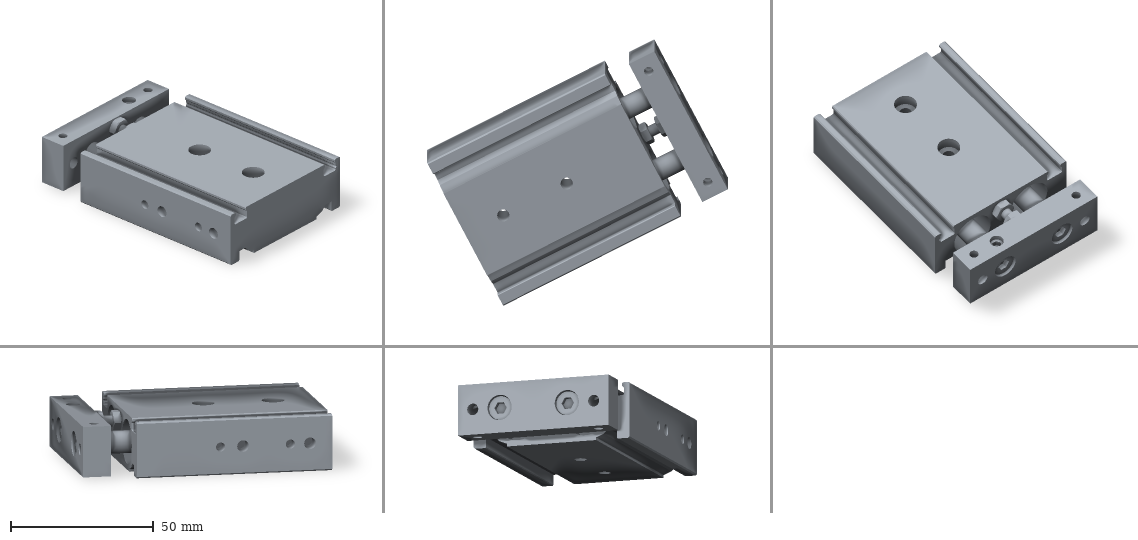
import cadquery as cq
import math

HOUSING_START = 19.0
HOUSING_LENGTH = 70.0
HOUSING_WIDTH = 58.0
HOUSING_HEIGHT = 20.0
EDGE_CHAMFER = 0.5
HALF_WIDTH = HOUSING_WIDTH / 2
HALF_HEIGHT = HOUSING_HEIGHT / 2

CHANNEL_FLOOR = 5.4
CHANNEL_MOUTH_OUTER = 26.2
CHANNEL_MOUTH_INNER = 20.9
OUTER_UNDERCUT = 0.8
INNER_UNDERCUT = 0.6
CHANNEL_CORNER = 0.4
OUTER_LIP_CHAMFER = 0.55
INNER_LIP_CHAMFER = 0.3
LIP_EDGE = 0.4
LIP_HEIGHT = 1.2

NOTCHED_WALL_UNDERCUT = 0.45
NOTCH_DEPTH = 0.5
NOTCH_BOTTOM = 6.3
NOTCH_TAPER = 0.4
NOTCH_TOP = 7.5

FOOT_INNER = 24.4
FOOT_CHAMFER = 0.3
LOWER_ROOF = -6.1
LOWER_ROOF_INNER = 21.1
LOWER_STEP_Y = 19.5
LOWER_STEP_Z = -7.9
KEEL_HALF_WIDTH = 16.6
KEEL_EDGE_Z = -9.0

MOUNT_HOLE_X = (49.0, 74.0)
MOUNT_HOLE_DIAMETER = 4.3
MOUNT_COUNTERBORE_DIAMETER = 8.0
MOUNT_COUNTERBORE_DEPTH = 4.4

PORT_X = (49.0, 74.0)
PORT_DIAMETER = 3.24
SIDE_THREAD_X = (57.0, 81.0)
SIDE_THREAD_DIAMETER = 4.13
SIDE_HOLE_DEPTH = 6.0

BORE_DIAMETER = 16.0
BORE_DEPTH = 12.0

PLATE_THICKNESS = 10.0
PLATE_WIDTH = 56.0
PLATE_HEIGHT = 18.0
ROD_DIAMETER = 8.0
ROD_Y = 12.5
ROD_SEAT_DEPTH = 10.0
ROD_END = HOUSING_START + BORE_DEPTH + ROD_SEAT_DEPTH

PLATE_HOLE_Y = 22.5
PLATE_CROSS_HOLE_X = 5.0
PLATE_CROSS_HOLE_DIAMETER = 3.24
PLATE_FACE_HOLE_DIAMETER = 4.13

SCREW_RECESS_DIAMETER = 9.0
SCREW_RECESS_DEPTH = 5.0
SCREW_HEAD_DIAMETER = 8.5
SCREW_HEAD_SETBACK = 1.0
SCREW_SOCKET_FLATS = 4.0
SCREW_SOCKET_DEPTH = 2.0

SET_SCREW_DIAMETER = 4.92
SET_SCREW_SETBACK = 2.0
SET_SCREW_SOCKET_FLATS = 3.0
SET_SCREW_SOCKET_DEPTH = 2.0

STOP_Z = 5.0
STOP_SHANK_DIAMETER = 4.0
STOP_HEX_FLATS = 7.0
STOP_HEX_THICKNESS = 2.8
STOP_HEAD_START = HOUSING_START - STOP_HEX_THICKNESS
STOP_FACE_DIAMETER = 7.0
STOP_CHAMFER_LENGTH = 0.35


def hexagon_diameter(flats):
    """Circle through the corners of a hexagon of the given width across flats."""
    return flats / math.cos(math.pi / 6)


def cylinder_x(diameter, start, end, y, z):
    """Cylinder parallel to X."""
    return cq.Workplane("YZ", origin=(start, y, z)).circle(diameter / 2).extrude(end - start)


def hexagon_x(flats, start, end, y, z):
    """Hexagonal prism parallel to X with two corners pointing along Y."""
    plane = cq.Workplane("YZ", origin=(start, y, z))
    return plane.polygon(6, hexagon_diameter(flats)).extrude(end - start)


def stop_hexagon(start):
    """Hexagonal head along X with the corners of both ends turned down to cones."""
    end = start + STOP_HEX_THICKNESS
    prism = hexagon_x(STOP_HEX_FLATS, start, end, 0, STOP_Z)
    corner_radius = hexagon_diameter(STOP_HEX_FLATS) / 2
    face_radius = STOP_FACE_DIAMETER / 2
    envelope = (
        cq.Workplane("XY", origin=(start, 0, STOP_Z))
        .polyline([
            (0, 0),
            (0, face_radius),
            (STOP_CHAMFER_LENGTH, corner_radius),
            (STOP_HEX_THICKNESS - STOP_CHAMFER_LENGTH, corner_radius),
            (STOP_HEX_THICKNESS, face_radius),
            (STOP_HEX_THICKNESS, 0),
        ])
        .close()
        .revolve(360, (0, 0, 0), (1, 0, 0))
    )
    return prism.intersect(envelope)


def outer_wall(undercut, notch):
    """Outer wall of an upper channel from its floor up to the lip, with optional notch points."""
    wall = CHANNEL_MOUTH_OUTER + undercut
    lip_bottom = HALF_HEIGHT - LIP_HEIGHT
    lower = [(wall - CHANNEL_CORNER, CHANNEL_FLOOR), (wall, CHANNEL_FLOOR + CHANNEL_CORNER)]
    upper = [(wall, lip_bottom - undercut), (CHANNEL_MOUTH_OUTER, lip_bottom)]
    return lower + notch + upper


def notch_points():
    """Tapered groove cut into the outer wall of the +Y channel."""
    wall = CHANNEL_MOUTH_OUTER + NOTCHED_WALL_UNDERCUT
    deep = wall + NOTCH_DEPTH
    return [
        (wall, NOTCH_BOTTOM),
        (deep, NOTCH_BOTTOM + NOTCH_TAPER),
        (deep, NOTCH_TOP - NOTCH_TAPER),
        (wall, NOTCH_TOP),
    ]


def half_outline(channel_outer_wall):
    """Cross-section points on the positive side, from the top face around to the keel."""
    wall_inner = CHANNEL_MOUTH_INNER - INNER_UNDERCUT
    lip_bottom = HALF_HEIGHT - LIP_HEIGHT
    inner_lip_and_wall = [
        (CHANNEL_MOUTH_INNER - INNER_LIP_CHAMFER, HALF_HEIGHT),
        (CHANNEL_MOUTH_INNER, HALF_HEIGHT - LIP_EDGE),
        (CHANNEL_MOUTH_INNER, lip_bottom),
        (wall_inner, lip_bottom - INNER_UNDERCUT),
        (wall_inner, CHANNEL_FLOOR + CHANNEL_CORNER),
        (wall_inner + CHANNEL_CORNER, CHANNEL_FLOOR),
    ]
    outer_lip_and_side = [
        (CHANNEL_MOUTH_OUTER, HALF_HEIGHT - LIP_EDGE),
        (CHANNEL_MOUTH_OUTER + OUTER_LIP_CHAMFER, HALF_HEIGHT),
        (HALF_WIDTH - EDGE_CHAMFER, HALF_HEIGHT),
        (HALF_WIDTH, HALF_HEIGHT - EDGE_CHAMFER),
        (HALF_WIDTH, EDGE_CHAMFER - HALF_HEIGHT),
        (HALF_WIDTH - EDGE_CHAMFER, -HALF_HEIGHT),
    ]
    foot_and_keel = [
        (FOOT_INNER + FOOT_CHAMFER, -HALF_HEIGHT),
        (FOOT_INNER, FOOT_CHAMFER - HALF_HEIGHT),
        (FOOT_INNER, LOWER_ROOF),
        (LOWER_ROOF_INNER, LOWER_ROOF),
        (LOWER_STEP_Y, LOWER_STEP_Z),
        (KEEL_HALF_WIDTH, KEEL_EDGE_Z),
        (KEEL_HALF_WIDTH, -HALF_HEIGHT),
    ]
    return inner_lip_and_wall + channel_outer_wall + outer_lip_and_side + foot_and_keel


def housing_outline():
    """Closed cross-section: the notched +Y half, then the plain -Y half."""
    positive = half_outline(outer_wall(NOTCHED_WALL_UNDERCUT, notch_points()))
    negative = half_outline(outer_wall(OUTER_UNDERCUT, []))
    return positive + [(-y, z) for y, z in reversed(negative)]


def side_holes(positions, diameter):
    """Blind holes drilled into the -Y side at mid height."""
    return (
        cq.Workplane("XZ", origin=(0, -HALF_WIDTH, 0))
        .pushPoints([(x, 0) for x in positions])
        .circle(diameter / 2)
        .extrude(-SIDE_HOLE_DEPTH)
    )


def make_housing():
    plane = cq.Workplane("YZ", origin=(HOUSING_START, 0, 0))
    body = plane.polyline(housing_outline()).close().extrude(HOUSING_LENGTH)
    body = (
        body.union(stop_hexagon(STOP_HEAD_START))
        .cut(side_holes(PORT_X, PORT_DIAMETER))
        .cut(side_holes(SIDE_THREAD_X, SIDE_THREAD_DIAMETER))
    )
    for y in (-ROD_Y, ROD_Y):
        bore = cylinder_x(BORE_DIAMETER, HOUSING_START, HOUSING_START + BORE_DEPTH, y, 0)
        rod_seat = cylinder_x(ROD_DIAMETER, HOUSING_START, ROD_END, y, 0)
        body = body.cut(bore).cut(rod_seat)
    return (
        cq.Workplane("XY", origin=(0, 0, HALF_HEIGHT))
        .add(body)
        .pushPoints([(x, 0) for x in MOUNT_HOLE_X])
        .cboreHole(MOUNT_HOLE_DIAMETER, MOUNT_COUNTERBORE_DIAMETER, MOUNT_COUNTERBORE_DEPTH)
    )


def plate_screw(y):
    """Socket head screw sitting below the front face of the plate."""
    head = cylinder_x(SCREW_HEAD_DIAMETER, SCREW_HEAD_SETBACK, SCREW_RECESS_DEPTH, y, 0)
    socket_end = SCREW_HEAD_SETBACK + SCREW_SOCKET_DEPTH
    return head.cut(hexagon_x(SCREW_SOCKET_FLATS, SCREW_HEAD_SETBACK, socket_end, y, 0))


def set_screw_recess():
    """Round pocket and hexagonal socket of the set screw above the +Y rod."""
    top = PLATE_HEIGHT / 2
    pocket = (
        cq.Workplane("XY", origin=(PLATE_CROSS_HOLE_X, ROD_Y, top))
        .circle(SET_SCREW_DIAMETER / 2)
        .extrude(-SET_SCREW_SETBACK)
    )
    socket = (
        cq.Workplane("XY", origin=(PLATE_CROSS_HOLE_X, ROD_Y, top - SET_SCREW_SETBACK))
        .transformed(rotate=(0, 0, 90))
        .polygon(6, hexagon_diameter(SET_SCREW_SOCKET_FLATS))
        .extrude(-SET_SCREW_SOCKET_DEPTH)
    )
    return pocket.union(socket)


def make_carriage():
    carriage = cq.Workplane("XY").box(
        PLATE_THICKNESS, PLATE_WIDTH, PLATE_HEIGHT, centered=(False, True, True)
    )
    for side in (-1, 1):
        rod_y = side * ROD_Y
        hole_y = side * PLATE_HOLE_Y
        cross_hole = (
            cq.Workplane("XY", origin=(PLATE_CROSS_HOLE_X, hole_y, 0))
            .circle(PLATE_CROSS_HOLE_DIAMETER / 2)
            .extrude(PLATE_HEIGHT / 2, both=True)
        )
        carriage = (
            carriage.cut(cylinder_x(SCREW_RECESS_DIAMETER, 0, SCREW_RECESS_DEPTH, rod_y, 0))
            .union(plate_screw(rod_y))
            .union(cylinder_x(ROD_DIAMETER, PLATE_THICKNESS, ROD_END, rod_y, 0))
            .cut(cylinder_x(PLATE_FACE_HOLE_DIAMETER, 0, PLATE_THICKNESS, hole_y, 0))
            .cut(cross_hole)
        )
    return (
        carriage.cut(set_screw_recess())
        .union(stop_hexagon(PLATE_THICKNESS))
        .union(cylinder_x(STOP_SHANK_DIAMETER, PLATE_THICKNESS, STOP_HEAD_START, 0, STOP_Z))
    )


housing = make_housing()
carriage = make_carriage()

result = cq.Compound.makeCompound([housing.val(), carriage.val()])